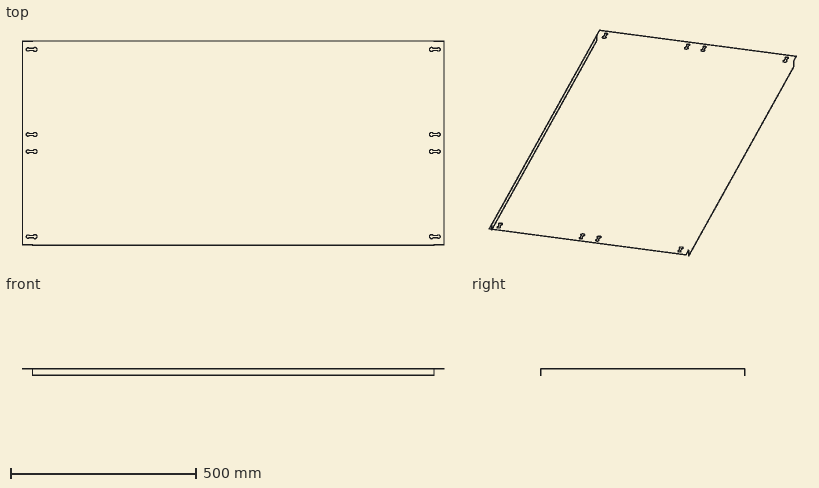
import cadquery as cq

length = 1137.5
width = 551.5
height = 18.0

thickness = 1.0
bend_inner_radius = 1.0
bend_outer_radius = bend_inner_radius + thickness
flange_length = 1084.0
ear_inset = 0.75

outer_hole_diameter = 8.5
inner_hole_diameter = 10.5
neck_width = 5.0
outer_hole_edge_distance = 15.0
hole_spacing = 19.0
slot_rows = (23.0, 252.5)


def make_channel():
    """Main sheet with a flange folded down through a rounded bend along each long side."""
    channel = (
        cq.Workplane("XY")
        .rect(flange_length, width)
        .extrude(-height)
        .edges("|X and >Z")
        .fillet(bend_outer_radius)
    )
    cavity = (
        cq.Workplane("XY")
        .workplane(offset=-thickness)
        .rect(flange_length, width - 2 * thickness)
        .extrude(-height)
        .edges("|X and >Z")
        .fillet(bend_inner_radius)
    )
    return channel.cut(cavity)


def make_ear(side):
    """Flat ear beyond the flange ends, at the left (side = -1) or right (side = 1)."""
    ear_length = (length - flange_length) / 2
    ear_center = side * (flange_length + ear_length) / 2
    ear_width = width - 2 * ear_inset
    return cq.Workplane("XY").center(ear_center, 0).rect(ear_length, ear_width).extrude(-thickness)


def make_slot_cutter(side, y):
    """Fixing slot centred at Y = y, at the left (side = -1) or right (side = 1)."""
    outer_x = side * (length / 2 - outer_hole_edge_distance)
    inner_x = outer_x - side * hole_spacing
    neck_x = (outer_x + inner_x) / 2
    outer_hole = cq.Workplane("XY").center(outer_x, y).circle(outer_hole_diameter / 2).extrude(-thickness)
    inner_hole = cq.Workplane("XY").center(inner_x, y).circle(inner_hole_diameter / 2).extrude(-thickness)
    neck = cq.Workplane("XY").center(neck_x, y).rect(hole_spacing, neck_width).extrude(-thickness)
    return outer_hole.union(inner_hole).union(neck)


panel = make_channel()
for side in (-1, 1):
    panel = panel.union(make_ear(side))

for side in (-1, 1):
    for row in slot_rows:
        for y in (-row, row):
            panel = panel.cut(make_slot_cutter(side, y))

result = panel